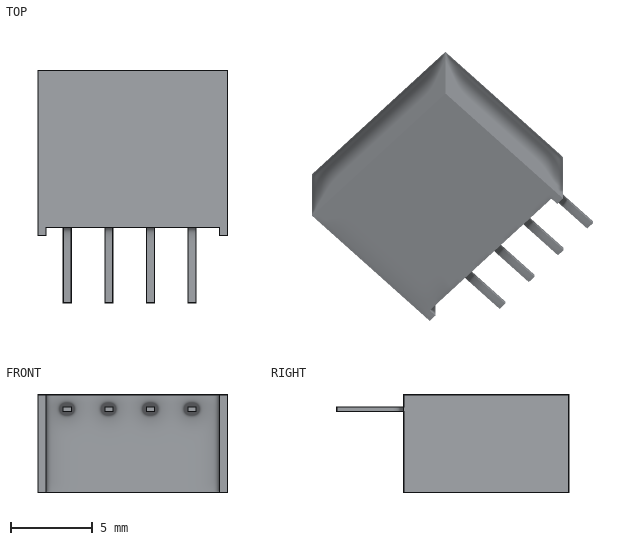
import cadquery as cq

case_width = 11.6
case_length = 10.1
case_height = 6.0

rib_thickness = 0.5
recess_depth = 0.5

pin_count = 4
pin_pitch = 2.54
pin_width = 0.5
pin_thickness = 0.3
pin_reach = 4.1
pin_row_offset = -0.19
pin_top_gap = 0.75

recess_face_y = recess_depth
pin_length = pin_reach + recess_depth


def make_case():
    """Block with its rib ends on Y = 0 and the recess cut through its full height."""
    block = cq.Workplane("XY").box(case_width, case_length, case_height, centered=(True, False, False))
    recess_width = case_width - 2 * rib_thickness
    recess = cq.Workplane("XY").box(recess_width, recess_depth, case_height, centered=(True, False, False))
    return block.cut(recess)


def make_pin(center_x):
    """Straight pin from the recessed face out to its free end."""
    pin_bottom_z = case_height - pin_top_gap - pin_thickness
    pin = cq.Workplane("XY").box(pin_width, pin_length, pin_thickness, centered=(True, False, False))
    return pin.translate((center_x, recess_face_y - pin_length, pin_bottom_z))


result = make_case()
first_pin_x = pin_row_offset - pin_pitch * (pin_count - 1) / 2
for index in range(pin_count):
    result = result.union(make_pin(first_pin_x + index * pin_pitch))